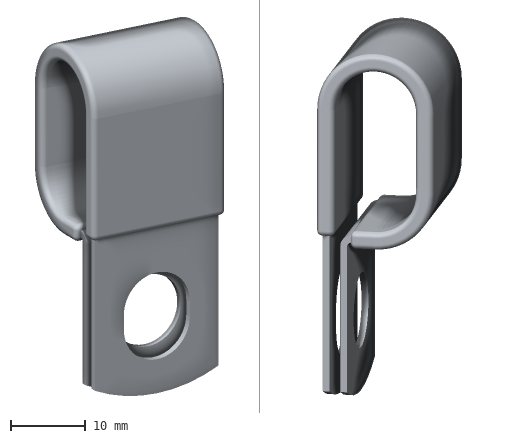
import cadquery as cq
import math

height = 49.2
loop_width = 15.9
cushion_length = 20.65

cushion_thickness = 2.4
edge_round = 0.75
lower_center_z = 30.1
foot_end_x = 3.35
long_leg_end_z = 23.7

strap_thickness = cushion_thickness - 2 * edge_round
strap_width = cushion_length - 2 * edge_round
bend_inner_radius = 0.55
hole_diameter = 10.25
hole_z = 11.05
slot_travel = 1.1
tip_drop = 2.15

outer_radius = loop_width / 2
inner_radius = outer_radius - cushion_thickness
mid_radius = (outer_radius + inner_radius) / 2
upper_center_z = height - outer_radius
strap_outer_radius = mid_radius + strap_thickness / 2
strap_inner_radius = mid_radius - strap_thickness / 2
bend_outer_radius = bend_inner_radius + strap_thickness
bend_center_z = lower_center_z - strap_inner_radius - bend_outer_radius
diagonal = math.sqrt(0.5)


def loop_profile(outer, inner):
    """Closed outline of the open loop between two concentric radii."""
    return (
        cq.Workplane("XZ")
        .moveTo(outer, long_leg_end_z)
        .lineTo(outer, upper_center_z)
        .threePointArc((0, upper_center_z + outer), (-outer, upper_center_z))
        .lineTo(-outer, lower_center_z)
        .threePointArc(
            (-outer * diagonal, lower_center_z - outer * diagonal),
            (0, lower_center_z - outer),
        )
        .lineTo(foot_end_x, lower_center_z - outer)
        .lineTo(foot_end_x, lower_center_z - inner)
        .lineTo(0, lower_center_z - inner)
        .threePointArc(
            (-inner * diagonal, lower_center_z - inner * diagonal),
            (-inner, lower_center_z),
        )
        .lineTo(-inner, upper_center_z)
        .threePointArc((0, upper_center_z + inner), (inner, upper_center_z))
        .lineTo(inner, long_leg_end_z)
        .close()
    )


def make_cushion():
    """Loop with its two side faces and both free ends rounded all around."""
    body = loop_profile(outer_radius, inner_radius).extrude(cushion_length / 2, both=True)
    side_edges = body.faces("<Y or >Y").edges()
    foot_end = (foot_end_x, 0, lower_center_z - mid_radius)
    leg_end = (mid_radius, 0, long_leg_end_z)
    foot_edges = body.faces(cq.selectors.NearestToPointSelector(foot_end)).edges()
    leg_edges = body.faces(cq.selectors.NearestToPointSelector(leg_end)).edges()
    return side_edges.add(foot_edges).add(leg_edges).fillet(edge_round)


def make_tabs():
    """Two parallel strap tabs, one bent down from the foot of the loop."""
    bent_tab = (
        cq.Workplane("XZ")
        .moveTo(foot_end_x, bend_center_z + bend_outer_radius)
        .threePointArc(
            (foot_end_x + bend_outer_radius * diagonal, bend_center_z + bend_outer_radius * diagonal),
            (foot_end_x + bend_outer_radius, bend_center_z),
        )
        .lineTo(foot_end_x + bend_outer_radius, 0)
        .lineTo(foot_end_x + bend_inner_radius, 0)
        .lineTo(foot_end_x + bend_inner_radius, bend_center_z)
        .threePointArc(
            (foot_end_x + bend_inner_radius * diagonal, bend_center_z + bend_inner_radius * diagonal),
            (foot_end_x, bend_center_z + bend_inner_radius),
        )
        .close()
        .extrude(strap_width / 2, both=True)
    )
    straight_tab = (
        cq.Workplane("XZ")
        .moveTo(strap_inner_radius, 0)
        .lineTo(strap_outer_radius, 0)
        .lineTo(strap_outer_radius, long_leg_end_z)
        .lineTo(strap_inner_radius, long_leg_end_z)
        .close()
        .extrude(strap_width / 2, both=True)
    )
    tab_outline = (
        cq.Workplane("YZ")
        .moveTo(-strap_width / 2, tip_drop)
        .threePointArc((0, 0), (strap_width / 2, tip_drop))
        .lineTo(strap_width / 2, height)
        .lineTo(-strap_width / 2, height)
        .close()
        .extrude(loop_width)
    )
    hole_plane = cq.Workplane("YZ").center(0, hole_z)
    bolt_hole = hole_plane.circle(hole_diameter / 2).extrude(loop_width)
    slot = hole_plane.slot2D(hole_diameter + 2 * slot_travel, hole_diameter, 90).extrude(loop_width)
    tabs = bent_tab.cut(bolt_hole).add(straight_tab.cut(slot)).combine()
    return tabs.intersect(tab_outline)


result = make_cushion().union(make_tabs())